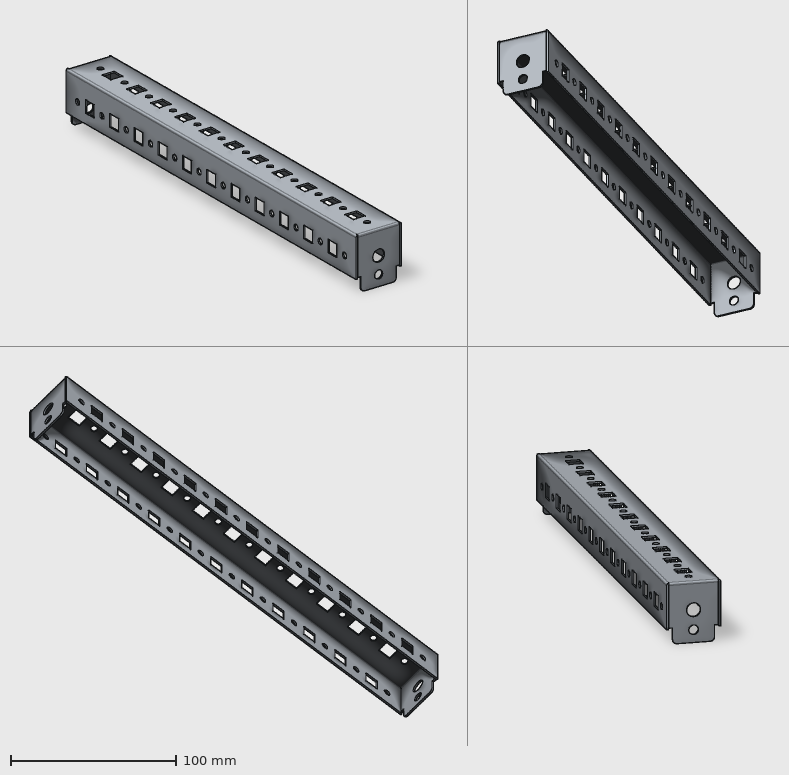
import cadquery as cq

length = 299.0
width = 34.0
height = 38.5

thickness = 1.2
bend_radius = 1.5
bend_inner_radius = bend_radius - thickness

side_wall_depth = 29.3
end_wall_depth = 28.5

end_wall_width = width - 2 * bend_radius

tab_width = 26.3
tab_corner_radius = 2.7

row_end_margin = 12.0
square_count = 11
round_count = square_count + 1
pitch = (length - 2 * row_end_margin) / square_count
square_size = 9.0
round_diameter = 4.2
row_depth = 17.5

end_hole_diameter = 8.7
end_hole_depth = 18.0
tab_hole_diameter = 6.0
tab_hole_depth = 30.5

top_z = height / 2


def folded_channel(plane, span, wall_depth, run):
    """Sheet folded down at both sides of its span, extruded along the plane's normal."""

    def arch(arch_span, arch_top_z, radius):
        arch_height = arch_top_z - (top_z - wall_depth)
        return (
            cq.Workplane(plane)
            .center(0, arch_top_z - arch_height / 2)
            .rect(arch_span, arch_height)
            .extrude(run / 2, both=True)
            .faces(">Z")
            .edges("|X" if plane == "YZ" else "|Y")
            .fillet(radius)
        )

    outer = arch(span, top_z, bend_radius)
    inner = arch(span - 2 * thickness, top_z - thickness, bend_inner_radius)
    return outer.cut(inner)


def side_walls():
    """Both side walls with their bends, running the full length."""
    channel = folded_channel("YZ", width, side_wall_depth, length)
    return channel.cut(cq.Workplane("XY").box(length, end_wall_width, height))


def end_wall_outline():
    """Full-length bar whose section is an end wall narrowing to its tab."""
    tab = cq.Workplane("XY").box(length, tab_width, height).edges("<Z and |X").fillet(tab_corner_radius)
    wall_center_z = top_z - end_wall_depth / 2
    wall = cq.Workplane("XY").box(length, end_wall_width, end_wall_depth).translate((0, 0, wall_center_z))
    return wall.union(tab)


def top_and_end_walls():
    """Top plate with both end walls and their tabs."""
    channel = folded_channel("XZ", length, height, end_wall_width)
    return channel.intersect(end_wall_outline())


def hole_row(plane, row_height, through):
    """Cutters for one row of round and square holes along X."""
    row = cq.Workplane(plane).center(0, row_height)
    squares = (
        row.rarray(pitch, 3, square_count, 1)
        .rect(square_size, square_size)
        .extrude(through, both=True)
    )
    rounds = (
        row.rarray(pitch, 3, round_count, 1)
        .circle(round_diameter / 2)
        .extrude(through, both=True)
    )
    return squares.union(rounds)


def end_hole(depth, diameter):
    """Cutter for a hole through both end walls."""
    return (
        cq.Workplane("YZ")
        .center(0, top_z - depth)
        .circle(diameter / 2)
        .extrude(length / 2, both=True)
    )


result = top_and_end_walls().union(side_walls())
result = result.cut(hole_row("XZ", top_z - row_depth, width))
result = result.cut(hole_row("XY", 0, height))
result = result.cut(end_hole(end_hole_depth, end_hole_diameter))
result = result.cut(end_hole(tab_hole_depth, tab_hole_diameter))